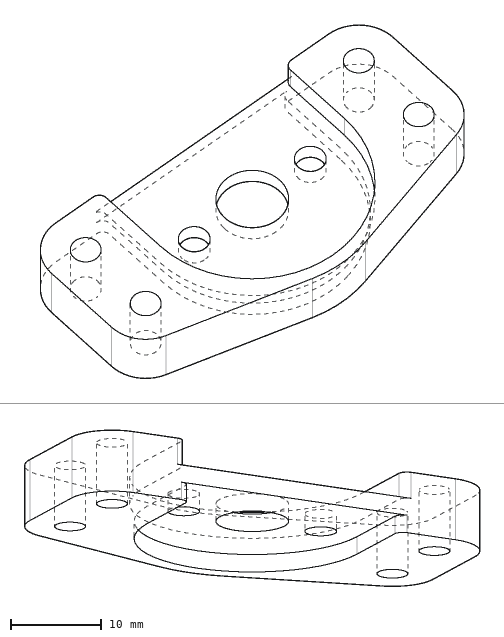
import cadquery as cq
import math

thickness = 7.0
edge_x = -10.0
corner_radius = 5.0
corner_x = 5.0
corner_y = 20.0
nose_radius = 15.0

top_pocket_radius = 13.5
top_pocket_depth = 3.0
bottom_pocket_radius = 13.0
bottom_pocket_depth = 2.0
mouth_radius = 1.0

bore_diameter = 8.0
screw_hole_diameter = 3.5
screw_hole_y = 8.5
mounting_hole_diameter = 3.4


def make_plate():
    """Rounded plate whose slanted sides are tangent to the corner arcs and the nose arc."""
    corner_distance = math.hypot(corner_x, corner_y)
    corner_angle = math.atan2(corner_y, corner_x)
    slant_angle = corner_angle - math.acos((nose_radius - corner_radius) / corner_distance)
    normal_x = math.cos(slant_angle)
    normal_y = math.sin(slant_angle)

    nose_x = nose_radius * normal_x
    nose_y = nose_radius * normal_y
    slant_x = corner_x + corner_radius * normal_x
    slant_y = corner_y + corner_radius * normal_y
    end_y = corner_y + corner_radius

    middle_angle = (slant_angle + math.pi / 2) / 2
    middle_x = corner_x + corner_radius * math.cos(middle_angle)
    middle_y = corner_y + corner_radius * math.sin(middle_angle)

    outline = (
        cq.Workplane("XY")
        .moveTo(edge_x, -end_y)
        .lineTo(corner_x, -end_y)
        .threePointArc((middle_x, -middle_y), (slant_x, -slant_y))
        .lineTo(nose_x, -nose_y)
        .threePointArc((nose_radius, 0), (nose_x, nose_y))
        .lineTo(slant_x, slant_y)
        .threePointArc((middle_x, middle_y), (corner_x, end_y))
        .lineTo(edge_x, end_y)
        .close()
    )
    return outline.extrude(thickness).edges("|Z and <X").fillet(corner_radius)


def make_pocket(radius, depth, floor_z):
    """D-shaped cutter with a half-round end and a mouth that flares at the straight side."""
    flare_y = radius + mouth_radius
    flare_x = edge_x + mouth_radius
    arc_offset = mouth_radius * math.sqrt(0.5)
    arc_x = flare_x - arc_offset
    arc_y = flare_y - arc_offset
    return (
        cq.Workplane("XY", origin=(0, 0, floor_z))
        .moveTo(edge_x, -flare_y)
        .threePointArc((arc_x, -arc_y), (flare_x, -radius))
        .lineTo(0, -radius)
        .threePointArc((radius, 0), (0, radius))
        .lineTo(flare_x, radius)
        .threePointArc((arc_x, arc_y), (edge_x, flare_y))
        .close()
        .extrude(depth)
    )


def make_holes(diameter, centers):
    """Cylinders through the full thickness."""
    return cq.Workplane("XY").pushPoints(centers).circle(diameter / 2).extrude(thickness)


mounting_centers = [(x, y) for x in (-corner_x, corner_x) for y in (-corner_y, corner_y)]
screw_centers = [(0, -screw_hole_y), (0, screw_hole_y)]

result = (
    make_plate()
    .cut(make_pocket(top_pocket_radius, top_pocket_depth, thickness - top_pocket_depth))
    .cut(make_pocket(bottom_pocket_radius, bottom_pocket_depth, 0))
    .cut(make_holes(bore_diameter, [(0, 0)]))
    .cut(make_holes(screw_hole_diameter, screw_centers))
    .cut(make_holes(mounting_hole_diameter, mounting_centers))
)